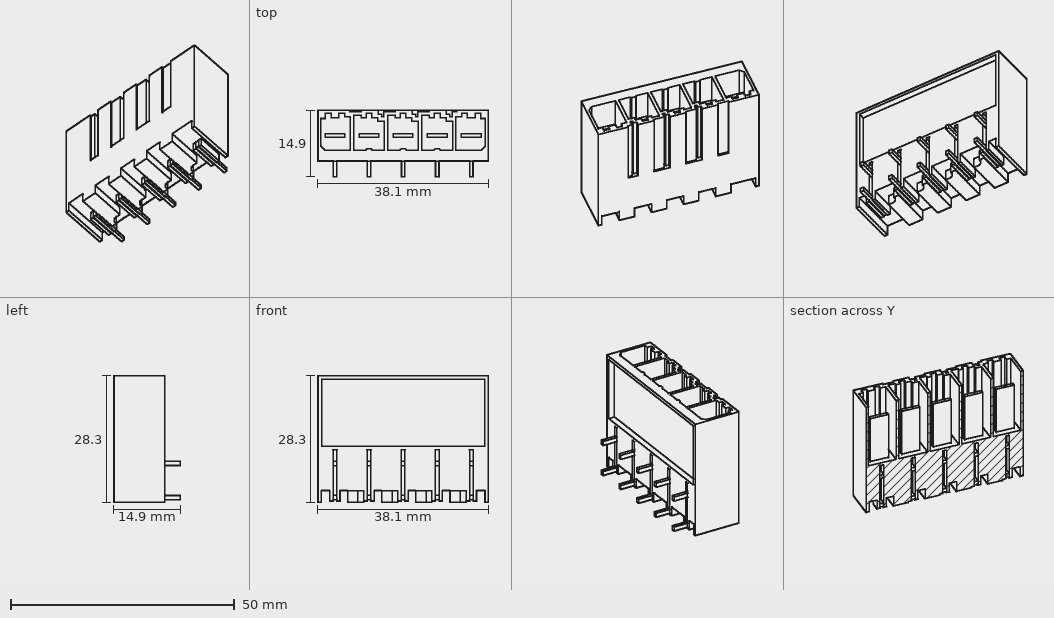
import cadquery as cq
import math

POLES = 5
PITCH = 7.62
LENGTH = POLES * PITCH
DEPTH = 11.4
HEIGHT = 28.3

RECESS_SIDE_MARGIN = 0.85
RECESS_TOP_MARGIN = 0.8
RECESS_FLOOR_Z = 12.5
RECESS_DEPTH = 1.5

CAVITY_FLOOR_Z = RECESS_FLOOR_Z
CAVITY_FRONT_Y = 2.47
END_WALL = 0.65
HALF_DIVIDER = 0.38
RIB_Y = 9.74
GROOVE_Y = 10.65
GROOVE_WIDTH = 1.28
END_CHAMFER = 0.9
END_SHOULDER_Y = 9.6
END_LEDGE = 0.13
END_LEDGE_DROP = 8.0
END_GROOVE_X = 1.68
END_GROOVE_SPACING = 3.0
END_INNER_Y = 9.87
MID_LEFT_Y = 10.26
MID_LEFT_WIDTH = 1.7
MID_RIGHT_Y = 8.96
MID_RIGHT_WIDTH = 1.45
KEY_BASE = 1.45
KEY_TIP = 0.95
KEY_HEIGHT = 0.28

CHANNEL_FLOOR_Z = CAVITY_FLOOR_Z
CHANNEL_Y = 11.0
CHANNEL_LEFT = -0.5
CHANNEL_RIGHT = 2.05
LAST_CHANNEL_RIGHT = 0.5
HOOK_OUTER_LEFT = -1.8
HOOK_OUTER_Y = 10.5
HOOK_INNER_LEFT = -1.0
HOOK_INNER_Y = 9.87

UNDERSIDE_Z = 2.6
END_FOOT = 0.8
FOOT_WIDTH = 2.35
FOOT_BOTTOM_Z = 0.27
POST_LEFT = -1.0
POST_FRONT_Y = 1.56
HOLLOW_RADIUS = 1.5
HOLLOW_LEFT = -0.35
HOLLOW_RIGHT = 1.34

PIN_WIDTH = 0.82
PIN_HEIGHT = 1.03
PIN_LENGTH = 3.5
LOWER_PIN_Z = 0.54
PIN_SPACING = 7.65
BLADE_WIDTH = 4.4
BLADE_THICKNESS = 0.8
BLADE_Y = 5.7
BLADE_TOP_Z = 24.0
SLOT_TOP_Z = 11.7
BLADE_FRONT_Y = BLADE_Y - BLADE_THICKNESS / 2
BLADE_BACK_Y = BLADE_Y + BLADE_THICKNESS / 2

POLE_CENTRES = [(i + 0.5 - POLES / 2) * PITCH for i in range(POLES)]
DIVIDERS = [(i - POLES / 2) * PITCH for i in range(1, POLES)]


def block(x0, x1, y0, y1, z0, z1):
    """Axis-aligned box between two opposite corners."""
    return cq.Workplane("XY").box(x1 - x0, y1 - y0, z1 - z0, centered=False).translate((x0, y0, z0))


def centred_block(x, width, y0, y1, z0, z1):
    """Box centred on x."""
    return block(x - width / 2, x + width / 2, y0, y1, z0, z1)


def guide_groove(x0):
    """Guide groove in the rear wall of a cavity, starting at x0."""
    return block(x0, x0 + GROOVE_WIDTH, RIB_Y, GROOVE_Y, CAVITY_FLOOR_Z, HEIGHT)


def left_end_cavity():
    """Cavity of the leftmost pole; the rightmost one is its mirror image."""
    end = -LENGTH / 2
    outer = end + END_WALL
    inner = end + PITCH - HALF_DIVIDER
    first_groove = end + END_GROOVE_X
    second_groove = first_groove + END_GROOVE_SPACING
    second_groove_end = second_groove + GROOVE_WIDTH
    cavity = (
        cq.Workplane("XY", origin=(0, 0, CAVITY_FLOOR_Z))
        .moveTo(outer + END_CHAMFER, CAVITY_FRONT_Y)
        .lineTo(inner, CAVITY_FRONT_Y)
        .lineTo(inner, END_INNER_Y)
        .lineTo(second_groove_end, END_INNER_Y)
        .lineTo(second_groove_end, RIB_Y)
        .lineTo(first_groove, RIB_Y)
        .lineTo(first_groove, END_SHOULDER_Y - END_LEDGE)
        .lineTo(outer, END_SHOULDER_Y - END_LEDGE)
        .lineTo(outer, CAVITY_FRONT_Y + END_CHAMFER)
        .close()
        .extrude(HEIGHT - CAVITY_FLOOR_Z)
    )
    ledge = block(
        outer, first_groove, END_SHOULDER_Y - END_LEDGE, END_SHOULDER_Y, HEIGHT - END_LEDGE_DROP, HEIGHT
    )
    return cavity.union(ledge).union(guide_groove(first_groove)).union(guide_groove(second_groove))


def middle_cavity(x):
    """Cavity of an inner pole centred on x, with the key left standing on its front wall."""
    left = x - PITCH / 2 + HALF_DIVIDER
    right = x + PITCH / 2 - HALF_DIVIDER
    shoulder = right - MID_RIGHT_WIDTH
    key_y = CAVITY_FRONT_Y + KEY_HEIGHT
    cavity = (
        cq.Workplane("XY", origin=(0, 0, CAVITY_FLOOR_Z))
        .moveTo(left, CAVITY_FRONT_Y)
        .lineTo(x - KEY_BASE / 2, CAVITY_FRONT_Y)
        .lineTo(x - KEY_TIP / 2, key_y)
        .lineTo(x + KEY_TIP / 2, key_y)
        .lineTo(x + KEY_BASE / 2, CAVITY_FRONT_Y)
        .lineTo(right, CAVITY_FRONT_Y)
        .lineTo(right, MID_RIGHT_Y)
        .lineTo(shoulder, MID_RIGHT_Y)
        .lineTo(shoulder, RIB_Y)
        .lineTo(left + MID_LEFT_WIDTH, RIB_Y)
        .lineTo(left + MID_LEFT_WIDTH, MID_LEFT_Y)
        .lineTo(left, MID_LEFT_Y)
        .close()
        .extrude(HEIGHT - CAVITY_FLOOR_Z)
    )
    return cavity.union(guide_groove(x - GROOVE_WIDTH / 2))


def rear_channel(index):
    """Coding channel in the rear face near one divider, open at the top."""
    x = DIVIDERS[index]
    is_first = index == 0
    is_last = index == len(DIVIDERS) - 1
    right = LAST_CHANNEL_RIGHT if is_last else CHANNEL_RIGHT
    channel = block(x + CHANNEL_LEFT, x + right, CHANNEL_Y, DEPTH, CHANNEL_FLOOR_Z, HEIGHT)
    if not is_first:
        for hook_left, hook_y in ((HOOK_OUTER_LEFT, HOOK_OUTER_Y), (HOOK_INNER_LEFT, HOOK_INNER_Y)):
            hook = block(x + hook_left, x + CHANNEL_LEFT, hook_y, DEPTH, CHANNEL_FLOOR_Z, HEIGHT)
            channel = channel.union(hook)
    return channel


def underside_post(x):
    """Post near the divider at x, hollowed by an arc in front; it meets the foot on its right."""
    left = x + POST_LEFT
    right = x + PITCH / 2 - FOOT_WIDTH / 2
    hollow_left_y = POST_FRONT_Y + math.sqrt(HOLLOW_RADIUS**2 - HOLLOW_LEFT**2)
    hollow_mid_y = POST_FRONT_Y + HOLLOW_RADIUS
    hollow_right_y = POST_FRONT_Y + math.sqrt(HOLLOW_RADIUS**2 - HOLLOW_RIGHT**2)
    return (
        cq.Workplane("XY")
        .moveTo(left, hollow_left_y)
        .lineTo(x + HOLLOW_LEFT, hollow_left_y)
        .threePointArc((x, hollow_mid_y), (x + HOLLOW_RIGHT, hollow_right_y))
        .lineTo(x + HOLLOW_RIGHT, POST_FRONT_Y)
        .lineTo(right, POST_FRONT_Y)
        .lineTo(right, DEPTH)
        .lineTo(left, DEPTH)
        .close()
        .extrude(UNDERSIDE_Z)
    )


def make_contact(x):
    """Blade in the cavity, a narrow stem below it and two solder pins to the front."""
    blade = centred_block(x, BLADE_WIDTH, BLADE_FRONT_Y, BLADE_BACK_Y, SLOT_TOP_Z, BLADE_TOP_Z)
    contact = blade.union(centred_block(x, PIN_WIDTH, BLADE_FRONT_Y, BLADE_BACK_Y, LOWER_PIN_Z, SLOT_TOP_Z))
    for z in (LOWER_PIN_Z, LOWER_PIN_Z + PIN_SPACING):
        contact = contact.union(centred_block(x, PIN_WIDTH, -PIN_LENGTH, BLADE_FRONT_Y, z, z + PIN_HEIGHT))
    return contact


def make_housing():
    """Housing with cavities, label recess, underside feet and the seats of the contacts."""
    half = LENGTH / 2
    body = block(-half, half, 0, DEPTH, UNDERSIDE_Z, HEIGHT)

    for x0 in (-half, half - END_FOOT):
        body = body.union(block(x0, x0 + END_FOOT, 0, DEPTH, 0, UNDERSIDE_Z))
    for x in POLE_CENTRES:
        body = body.union(centred_block(x, FOOT_WIDTH, 0, BLADE_BACK_Y, FOOT_BOTTOM_Z, UNDERSIDE_Z))
    for x in DIVIDERS:
        body = body.union(underside_post(x))

    recess_width = LENGTH - 2 * RECESS_SIDE_MARGIN
    recess_top = HEIGHT - RECESS_TOP_MARGIN
    body = body.cut(centred_block(0, recess_width, 0, RECESS_DEPTH, RECESS_FLOOR_Z, recess_top))

    end_cavity = left_end_cavity()
    body = body.cut(end_cavity).cut(end_cavity.mirror("YZ"))
    for x in POLE_CENTRES[1:-1]:
        body = body.cut(middle_cavity(x))

    for index in range(len(DIVIDERS)):
        body = body.cut(rear_channel(index))

    for x in POLE_CENTRES:
        body = body.cut(centred_block(x, PIN_WIDTH, 0, BLADE_BACK_Y, 0, SLOT_TOP_Z))
        body = body.cut(
            centred_block(x, BLADE_WIDTH, BLADE_FRONT_Y, BLADE_BACK_Y, SLOT_TOP_Z, CAVITY_FLOOR_Z)
        )
    return body


housing = make_housing()
contacts = [make_contact(x) for x in POLE_CENTRES]

result = cq.Compound.makeCompound([housing.val(), *[contact.val() for contact in contacts]])